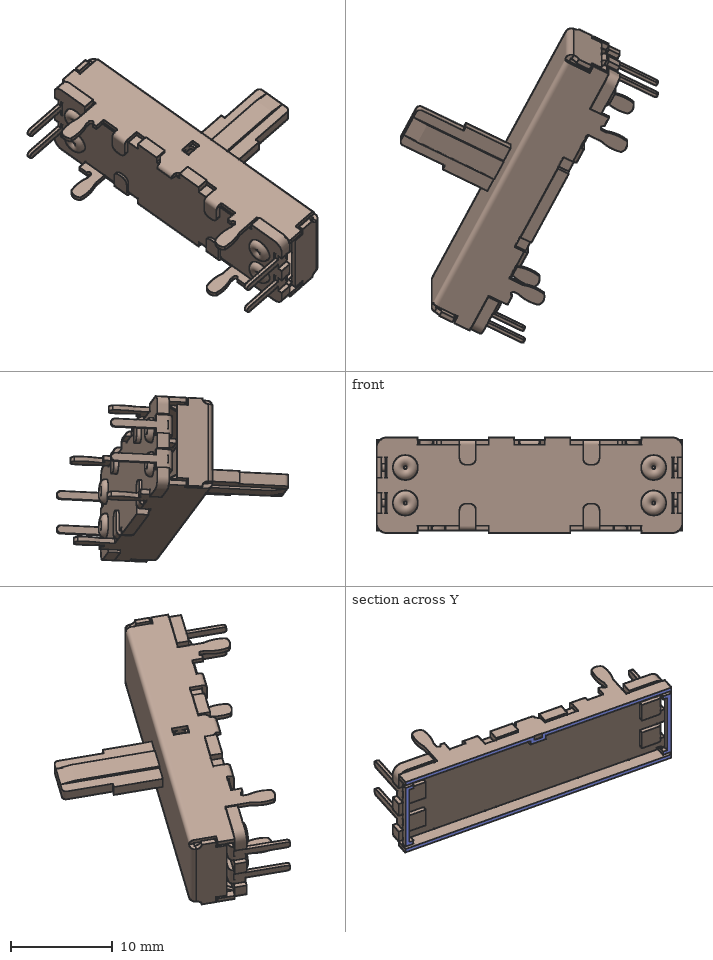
import cadquery as cq
import math


LENGTH = 30.0
PLATE_WIDTH = 9.4
PLATE_THICKNESS = 1.2
PLATE_CORNER_RADIUS = 1.0
SIDE_NOTCH_INNER_X = 4.02
SIDE_NOTCH_OUTER_X = 10.98
CENTRE_NOTCH_WIDTH = 3.0

SHEET = 0.48
COVER_WIDTH = 8.9
COVER_TOP_Y = 5.65
BEND_RADIUS = 0.55
END_BEND_RADIUS = 0.63
END_BEND_WIDTH = 7.8
SIDE_WALL_LENGTH = 28.45
END_WALL_BOTTOM_Y = 2.0
END_WALL_LOWER_WIDTH = 7.45
WING_BOTTOM_Y = 3.1
WING_TOP_Y = 5.07
WING_RELIEF_RADIUS = 0.55
LEDGE_TOP_Y = 2.9
WINDOW_WIDTH = 0.87
WINDOW_BOTTOM_Y = 2.52
WINDOW_TOP_Y = 4.08
WINDOW_FRAME = 0.45
WINDOW_SLOT_HEIGHT = 1.05
WINDOW_SLOT_RADIUS = 0.27
WEDGE_DEPTH = 0.45

CLIP_INNER_X = 5.25
CLIP_WIDTH = 1.62
FRONT_CLIP_TIP_Z = 2.0
REAR_CLIP_TIP_Z = 1.8
CLIP_TIP_RADIUS = 0.65
APRON_BOTTOM_Y = 0.18
FRONT_CLIP_HEIGHT = 0.55
REAR_CLIP_HEIGHT = 0.27
CENTRE_CLIP_WIDTH = 2.1
CENTRE_CLIP_TIP_WIDTH = 1.85
CENTRE_CLIP_TAPER_Y = 0.48
CENTRE_CLIP_TIP_RADIUS = 0.45

FRONT_LEG_X = 10.65
FRONT_LEG_HOOK_X = 8.67
FRONT_LEG_TIP_Y = -3.93
REAR_LEG_X = 8.4
REAR_LEG_HOOK_X = 10.92
REAR_LEG_TIP_Y = -3.85
LEG_NECK_WIDTH = 1.05
LEG_BULGE = 0.2
LEG_BULGE_Y = -2.7
LEG_NECK_Y = -1.35
LEG_TIP_ARC_HEIGHT = 0.27
HOOK_BOTTOM_Y = -0.9
HOOK_SLOT_WIDTH = 0.48

TERMINAL_Z = 1.75
TERMINAL_WIDTH = 1.98
TERMINAL_THICKNESS = 0.35
TERMINAL_OUTER_X = 14.52
TERMINAL_TOP_Y = 1.65
TERMINAL_BEND_RADIUS = 0.55
TERMINAL_SLOT_INNER_X = 13.98
PIN_WIDTH = 0.78
PIN_TIP_Y = -4.5
PIN_TIP_RADIUS = 0.35
RIVET_X = 12.18
RIVET_RADIUS = 1.23
RIVET_TUBE_RADIUS = 0.55
RIVET_HEIGHT = 0.6

LEVER_TIP_Y = 15.6
LEVER_SHOULDER_Y = 10.55
LEVER_BASE_WIDTH = 4.98
LEVER_TIP_WIDTH = 4.08
LEVER_TIP_RADIUS = 0.42
LEVER_THICKNESS = 1.2
RIB_WIDTH = 2.07
RIB_THICKNESS = 1.7
RIB_TAPER_Y = 14.07

HALF_LENGTH = LENGTH / 2
COVER_OUTER_Z = COVER_WIDTH / 2
COVER_INNER_Z = COVER_OUTER_Z - SHEET
END_INNER_X = HALF_LENGTH - SHEET
TERMINAL_INNER_X = TERMINAL_OUTER_X - TERMINAL_THICKNESS
CLIP_OUTER_X = CLIP_INNER_X + CLIP_WIDTH


def block(x_range, y_range, z_range):
    """Box spanning the given ranges along the three axes."""
    spans = (x_range, y_range, z_range)
    size = [max(span) - min(span) for span in spans]
    centre = tuple(sum(span) / 2 for span in spans)
    return cq.Workplane("XY").box(*size).translate(centre)


def both(half):
    """Range from minus half to plus half."""
    return (-half, half)


def mirrored_in_x(shape):
    return shape.union(shape.mirror("YZ"))


def mirrored_in_z(shape):
    return shape.union(shape.mirror("XY"))


def base_plate():
    thickness = (0, PLATE_THICKNESS)
    outer_z = PLATE_WIDTH / 2
    plate = block(both(HALF_LENGTH), thickness, both(outer_z))
    plate = plate.edges("|Y").fillet(PLATE_CORNER_RADIUS)
    notch_z = (COVER_INNER_Z, outer_z)
    side_notch = block((SIDE_NOTCH_INNER_X, SIDE_NOTCH_OUTER_X), thickness, notch_z)
    plate = plate.cut(mirrored_in_x(mirrored_in_z(side_notch)))
    plate = plate.cut(block(both(CENTRE_NOTCH_WIDTH / 2), thickness, notch_z))
    half_slot = TERMINAL_WIDTH / 2
    slot_z = (TERMINAL_Z - half_slot, TERMINAL_Z + half_slot)
    slot = block((TERMINAL_SLOT_INNER_X, HALF_LENGTH), thickness, slot_z)
    return plate.cut(mirrored_in_x(mirrored_in_z(slot)))


def cover_shell():
    channel = block(both(SIDE_WALL_LENGTH / 2), (PLATE_THICKNESS, COVER_TOP_Y), both(COVER_OUTER_Z))
    channel = channel.edges(">Y and |X").fillet(BEND_RADIUS)
    ends = block(both(HALF_LENGTH), (WING_BOTTOM_Y, COVER_TOP_Y), both(END_BEND_WIDTH / 2))
    ends = ends.edges(">Y and |Z").fillet(END_BEND_RADIUS)
    ledges = block(both(HALF_LENGTH), (PLATE_THICKNESS, LEDGE_TOP_Y), both(COVER_OUTER_Z))
    cavity_y = (PLATE_THICKNESS, COVER_TOP_Y - SHEET)
    shell = channel.union(ends).cut(block(both(END_INNER_X), cavity_y, both(COVER_INNER_Z)))
    shell = shell.union(ledges.cut(block(both(HALF_LENGTH), cavity_y, both(COVER_INNER_Z))))

    wing = block((END_INNER_X, HALF_LENGTH), (WING_BOTTOM_Y, WING_TOP_Y), both(COVER_OUTER_Z))
    relief = (
        cq.Workplane("YZ", origin=(END_INNER_X, 0, 0))
        .center(WING_TOP_Y, COVER_OUTER_Z)
        .circle(WING_RELIEF_RADIUS)
        .extrude(SHEET)
    )
    wing = wing.cut(mirrored_in_z(relief))
    apron_y = (END_WALL_BOTTOM_Y, WING_BOTTOM_Y)
    apron = block((END_INNER_X, HALF_LENGTH), apron_y, both(END_WALL_LOWER_WIDTH / 2))
    return shell.union(mirrored_in_x(wing.union(apron)))


def add_window(shell):
    """Opening in the +Z wall, backed by a pad that has a rounded slot through it."""
    half_width = WINDOW_WIDTH / 2
    pad_z = (COVER_INNER_Z - WINDOW_FRAME, COVER_INNER_Z)
    pad = block(
        both(half_width + WINDOW_FRAME),
        (WINDOW_BOTTOM_Y - WINDOW_FRAME, WINDOW_TOP_Y + WINDOW_FRAME),
        pad_z,
    )
    slot_mid_y = (WINDOW_BOTTOM_Y + WINDOW_TOP_Y) / 2
    slot_y = (slot_mid_y - WINDOW_SLOT_HEIGHT / 2, slot_mid_y + WINDOW_SLOT_HEIGHT / 2)
    slot = block(both(half_width), slot_y, pad_z).edges("|Z").fillet(WINDOW_SLOT_RADIUS)
    opening = block(both(half_width), (WINDOW_BOTTOM_Y, WINDOW_TOP_Y), (COVER_INNER_Z, COVER_OUTER_Z))
    return shell.union(pad).cut(slot).cut(opening)


def corner_wedges():
    """Tapered feet inside the end walls, reaching down to the base plate."""
    outer_z = END_WALL_LOWER_WIDTH / 2
    wedge = (
        cq.Workplane("YZ", origin=(END_INNER_X - WEDGE_DEPTH, 0, 0))
        .moveTo(PLATE_THICKNESS, outer_z)
        .lineTo(WING_BOTTOM_Y, outer_z)
        .lineTo(WING_BOTTOM_Y, outer_z - WEDGE_DEPTH)
        .lineTo(END_WALL_BOTTOM_Y, outer_z - WEDGE_DEPTH)
        .close()
        .extrude(WEDGE_DEPTH)
    )
    return mirrored_in_x(mirrored_in_z(wedge))


def side_clip(height, tip_z):
    """Tab of the +Z wall that folds over the mounting face."""
    tab = block((CLIP_INNER_X, CLIP_OUTER_X), (-height, SHEET - height), (tip_z, COVER_OUTER_Z))
    tab = tab.edges("<Z and |Y").fillet(CLIP_TIP_RADIUS)
    wall_z = (COVER_INNER_Z, COVER_OUTER_Z)
    fold = block((CLIP_INNER_X, CLIP_OUTER_X), (-height, PLATE_THICKNESS), wall_z)
    clip = tab.union(fold)
    return clip.edges("<Y and >Z and |X").fillet(SHEET)


def snap_leg(edge_x, hook_x, tip_y):
    """Apron of the +Z wall with a bulged leg along edge_x and a hook ending at hook_x."""
    inward = math.copysign(1, hook_x - edge_x)
    neck_x = edge_x + inward * LEG_NECK_WIDTH
    slot_x = neck_x + inward * HOOK_SLOT_WIDTH
    slot_mid_x = (neck_x + slot_x) / 2
    slot_top_y = HOOK_BOTTOM_Y + HOOK_SLOT_WIDTH / 2
    tip_mid_x = (edge_x + neck_x) / 2
    tip_start_y = tip_y + LEG_TIP_ARC_HEIGHT
    outline = (
        cq.Workplane("XY", origin=(0, 0, COVER_INNER_Z))
        .moveTo(edge_x, PLATE_THICKNESS)
        .lineTo(edge_x, LEG_NECK_Y)
        .spline(
            [(edge_x - inward * LEG_BULGE, LEG_BULGE_Y), (edge_x - inward * LEG_BULGE / 2, tip_start_y)],
            includeCurrent=True,
        )
        .threePointArc((tip_mid_x, tip_y), (neck_x + inward * LEG_BULGE / 2, tip_start_y))
        .spline(
            [(neck_x + inward * LEG_BULGE, LEG_BULGE_Y), (neck_x, LEG_NECK_Y)],
            includeCurrent=True,
        )
        .lineTo(neck_x, HOOK_BOTTOM_Y)
        .threePointArc((slot_mid_x, slot_top_y), (slot_x, HOOK_BOTTOM_Y))
        .lineTo(hook_x, HOOK_BOTTOM_Y)
        .lineTo(hook_x, PLATE_THICKNESS)
        .close()
    )
    leg = outline.extrude(SHEET)
    outer_x = max(edge_x, hook_x)
    apron_y = (APRON_BOTTOM_Y, PLATE_THICKNESS)
    return leg.union(block((CLIP_INNER_X, outer_x), apron_y, (COVER_INNER_Z, COVER_OUTER_Z)))


def side_tabs():
    front = snap_leg(FRONT_LEG_X, FRONT_LEG_HOOK_X, FRONT_LEG_TIP_Y)
    front = front.union(side_clip(FRONT_CLIP_HEIGHT, FRONT_CLIP_TIP_Z))
    rear = snap_leg(REAR_LEG_X, REAR_LEG_HOOK_X, REAR_LEG_TIP_Y)
    rear = rear.union(side_clip(REAR_CLIP_HEIGHT, REAR_CLIP_TIP_Z)).mirror("XY")
    return mirrored_in_x(front.union(rear))


def centre_clip():
    half_base = CENTRE_NOTCH_WIDTH / 2
    half_width = CENTRE_CLIP_WIDTH / 2
    half_tip = CENTRE_CLIP_TIP_WIDTH / 2
    clip = (
        cq.Workplane("XY", origin=(0, 0, COVER_INNER_Z))
        .polyline([
            (-half_base, PLATE_THICKNESS),
            (-half_base, CENTRE_CLIP_TAPER_Y),
            (-half_width, 0),
            (-half_tip, -FRONT_CLIP_HEIGHT),
            (half_tip, -FRONT_CLIP_HEIGHT),
            (half_width, 0),
            (half_base, CENTRE_CLIP_TAPER_Y),
            (half_base, PLATE_THICKNESS),
        ])
        .close()
        .extrude(SHEET)
    )
    return clip.edges("<Y and >Z").fillet(CENTRE_CLIP_TIP_RADIUS)


def terminal():
    half_width = TERMINAL_WIDTH / 2
    head_z = (TERMINAL_Z - half_width, TERMINAL_Z + half_width)
    upright = block((TERMINAL_INNER_X, TERMINAL_OUTER_X), (0, TERMINAL_TOP_Y), head_z)
    strip = block((RIVET_X, TERMINAL_OUTER_X), (PLATE_THICKNESS, TERMINAL_TOP_Y), head_z)
    head = upright.union(strip).edges(">X and >Y").fillet(TERMINAL_BEND_RADIUS)
    half_pin = PIN_WIDTH / 2
    pin = block(
        (TERMINAL_INNER_X, TERMINAL_OUTER_X),
        (PIN_TIP_Y, PLATE_THICKNESS),
        (TERMINAL_Z - half_pin, TERMINAL_Z + half_pin),
    )
    pin = pin.edges("<Y and |X").fillet(PIN_TIP_RADIUS)
    return head.union(pin)


def rivet():
    """Rolled rivet head, a ring half sunk in the mounting face."""
    ring_radius = RIVET_RADIUS - RIVET_TUBE_RADIUS
    ring = cq.Solid.makeTorus(
        ring_radius,
        RIVET_TUBE_RADIUS,
        cq.Vector(RIVET_X, RIVET_TUBE_RADIUS - RIVET_HEIGHT, TERMINAL_Z),
        cq.Vector(0, 1, 0),
    )
    return cq.Workplane(obj=ring)


def lever():
    root_y = COVER_TOP_Y - SHEET
    blade_z = both(LEVER_THICKNESS / 2)
    base = block(both(LEVER_BASE_WIDTH / 2), (root_y, LEVER_SHOULDER_Y), blade_z)
    tip = block(both(LEVER_TIP_WIDTH / 2), (root_y, LEVER_TIP_Y), blade_z)
    tip = tip.edges(">Y and |Z").fillet(LEVER_TIP_RADIUS)
    rib = (
        cq.Workplane("YZ", origin=(-RIB_WIDTH / 2, 0, 0))
        .polyline([
            (root_y, -RIB_THICKNESS / 2),
            (RIB_TAPER_Y, -RIB_THICKNESS / 2),
            (LEVER_TIP_Y, -LEVER_THICKNESS / 2),
            (LEVER_TIP_Y, LEVER_THICKNESS / 2),
            (RIB_TAPER_Y, RIB_THICKNESS / 2),
            (root_y, RIB_THICKNESS / 2),
        ])
        .close()
        .extrude(RIB_WIDTH)
    )
    return base.union(tip).union(rib)


contacts = mirrored_in_x(mirrored_in_z(terminal().union(rivet())))

result = (
    base_plate()
    .union(add_window(cover_shell()))
    .union(corner_wedges())
    .union(side_tabs())
    .union(centre_clip())
    .union(contacts)
    .union(lever())
)